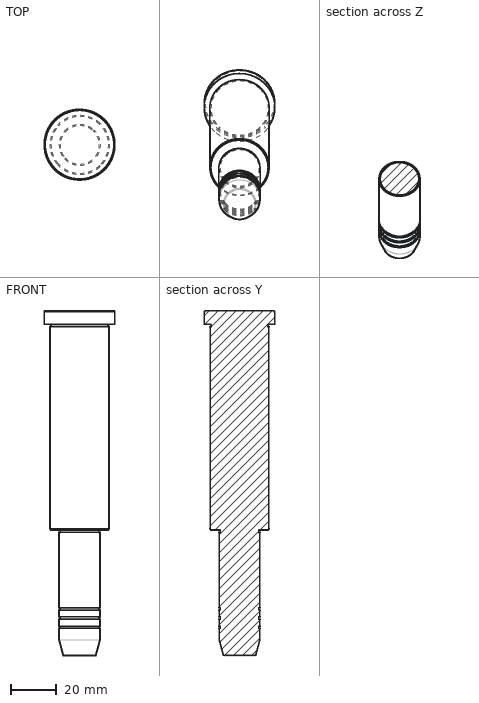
import cadquery as cq
import math

total_length = 151.0
head_diameter = 31.0
head_height = 6.0
head_chamfer = 0.5
body_diameter = 26.0
body_bottom_z = 55.0
body_chamfer = 0.5
shank_diameter = 18.0

taper_height = 7.0
taper_angle = 15.0
tip_fillet = 0.5

relief_width = 1.0
relief_depth = 0.5

ring_count = 3
ring_width = 1.0
ring_depth = 0.5
ring_fillet = 0.49
ring_pitch = 4.0
lowest_ring_z = 12.0

head_bottom_z = total_length - head_height
head_radius = head_diameter / 2
body_radius = body_diameter / 2
shank_radius = shank_diameter / 2
tip_radius = shank_radius - taper_height * math.tan(math.radians(taper_angle))


def revolve_about_z(profile):
    """Turn a closed profile drawn in the XZ plane around the Z axis."""
    return profile.close().revolve(360, (0, 0, 0), (0, 1, 0))


def cylinder(radius, bottom_z, top_z):
    """Cylinder on the Z axis between two heights."""
    return cq.Workplane("XY").workplane(offset=bottom_z).circle(radius).extrude(top_z - bottom_z)


def square_relief_cutter(radius, shoulder_z):
    """Ring that undercuts a cylinder below a shoulder with a sharp corner."""
    bottom_z = shoulder_z - relief_width
    return cylinder(radius, bottom_z, shoulder_z).cut(cylinder(radius - relief_depth, bottom_z, shoulder_z))


def filleted_relief_cutter(radius, shoulder_z):
    """Ring that undercuts a cylinder below a shoulder, leaving a fillet in the corner."""
    neck_radius = radius - relief_depth
    return revolve_about_z(
        cq.Workplane("XZ")
        .moveTo(radius, shoulder_z - relief_width)
        .lineTo(neck_radius, shoulder_z - relief_width)
        .lineTo(neck_radius, shoulder_z - relief_depth)
        .radiusArc((radius, shoulder_z), relief_depth)
    )


def ring_cutter(bottom_z):
    """Ring that cuts a groove with rounded root corners around the shank."""
    top_z = bottom_z + ring_width
    root_radius = shank_radius - ring_depth
    corner_radius = root_radius + ring_fillet
    return revolve_about_z(
        cq.Workplane("XZ")
        .moveTo(shank_radius, bottom_z)
        .lineTo(corner_radius, bottom_z)
        .radiusArc((root_radius, bottom_z + ring_fillet), ring_fillet)
        .lineTo(root_radius, top_z - ring_fillet)
        .radiusArc((corner_radius, top_z), ring_fillet)
        .lineTo(shank_radius, top_z)
    )


def make_head():
    head = cylinder(head_radius, head_bottom_z, total_length)
    return head.faces(">Z").edges().chamfer(head_chamfer)


def make_body():
    body = cylinder(body_radius, body_bottom_z, head_bottom_z)
    body = body.faces("<Z").edges().chamfer(body_chamfer)
    return body.cut(filleted_relief_cutter(body_radius, head_bottom_z))


def make_shank():
    shank = cylinder(shank_radius, taper_height, body_bottom_z)
    shank = shank.cut(square_relief_cutter(shank_radius, body_bottom_z))
    for index in range(ring_count):
        shank = shank.cut(ring_cutter(lowest_ring_z + index * ring_pitch))
    return shank


def make_tip():
    tip = revolve_about_z(
        cq.Workplane("XZ")
        .lineTo(tip_radius, 0)
        .lineTo(shank_radius, taper_height)
        .lineTo(0, taper_height)
    )
    return tip.faces("<Z").edges().fillet(tip_fillet)


pin = make_head().union(make_body()).union(make_shank()).union(make_tip())

result = pin.rotate((0, 0, 0), (0, 0, 1), 180)